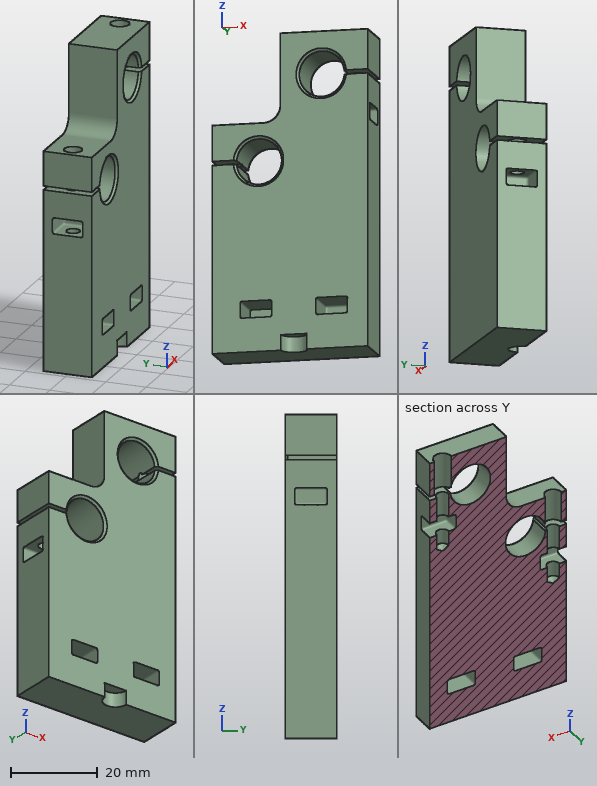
import cadquery as cq
import math

WIDTH = 37.0
THICKNESS = 12.0
HEIGHT = 75.0
FRONT_Y = -THICKNESS / 2

STEP_X = 16.2
STEP_Z = 54.0
STEP_RADIUS = 4.0

BORE_EDGE = 11.0
BORE_DIAMETER = 10.7
BORE_CHAMFER = 0.6
LOW_BORE_Z = 45.0
HIGH_BORE_Z = 65.0
SLIT_HEIGHT = 1.0

SCREW_EDGE = 3.5
LOW_CLEARANCE_DIAMETER = 4.3
HIGH_CLEARANCE_DIAMETER = 4.5
PILOT_DIAMETER = 3.2
PILOT_DEPTH = 15.0
DRILL_POINT_ANGLE = 118.0

POCKET_WIDTH = 7.5
POCKET_HEIGHT = 4.0
POCKET_RADIUS = 0.5
CLAMP_POCKET_DROP = 9.0
CLAMP_POCKET_DEPTH = 7.05
FRONT_POCKET_Z = 10.05
FRONT_POCKET_DEPTH = 9.75
FRONT_POCKET_SPACING = 18.0

NOTCH_X = 19.4
NOTCH_DIAMETER = 6.15
NOTCH_HEIGHT = 3.7


def stepped_block():
    block = cq.Workplane("XY").box(WIDTH, THICKNESS, HEIGHT, centered=(False, True, False))
    corner = (
        cq.Workplane("XY")
        .box(STEP_X, THICKNESS, HEIGHT - STEP_Z, centered=(False, True, False))
        .translate((0, 0, STEP_Z))
    )
    inner_corner = cq.selectors.NearestToPointSelector((STEP_X, 0, STEP_Z))
    return block.cut(corner).edges(inner_corner).fillet(STEP_RADIUS)


def bore(x, z):
    """Through bore along Y with a chamfered front rim."""
    radius = BORE_DIAMETER / 2
    front = cq.Workplane("XZ", origin=(x, FRONT_Y, z))
    hole = front.circle(radius).extrude(-THICKNESS)
    rim = cq.Solid.makeCone(
        radius + BORE_CHAMFER, radius, BORE_CHAMFER,
        pnt=cq.Vector(x, FRONT_Y, z), dir=cq.Vector(0, 1, 0),
    )
    return hole.union(cq.Workplane(obj=rim))


def slit(side_x, bore_x, z):
    length = abs(bore_x - side_x)
    return (
        cq.Workplane("XY")
        .box(length, THICKNESS, SLIT_HEIGHT)
        .translate(((side_x + bore_x) / 2, 0, z))
    )


def clamp_screw_hole(x, top_z, slit_z, clearance_diameter):
    """Clearance hole down to the slit, then a pilot hole with a conical end."""
    clearance = clearance_diameter / 2
    pilot = PILOT_DIAMETER / 2
    end_z = slit_z - PILOT_DEPTH
    tip_z = end_z - pilot / math.tan(math.radians(DRILL_POINT_ANGLE / 2))
    return (
        cq.Workplane("XZ", origin=(x, 0, 0))
        .moveTo(0, top_z)
        .lineTo(clearance, top_z)
        .lineTo(clearance, slit_z)
        .lineTo(pilot, slit_z)
        .lineTo(pilot, end_z)
        .lineTo(0, tip_z)
        .close()
        .revolve(360, (0, 0, 0), (0, 1, 0))
    )


def nut_pocket(plane, depth, round_floor):
    """Round-cornered pocket sunk from a plane that faces out of the block."""
    overshoot = 2 * POCKET_RADIUS
    pocket = (
        cq.Workplane(plane)
        .workplane(offset=-depth)
        .rect(POCKET_WIDTH, POCKET_HEIGHT)
        .extrude(depth + overshoot)
    )
    corners = None if round_floor else cq.selectors.ParallelDirSelector(plane.zDir)
    return pocket.edges(corners).fillet(POCKET_RADIUS)


def side_plane(side_x, outward, z):
    return cq.Plane(origin=(side_x, 0, z), xDir=(0, 1, 0), normal=(outward, 0, 0))


def front_plane(x, z):
    return cq.Plane(origin=(x, FRONT_Y, z), xDir=(1, 0, 0), normal=(0, -1, 0))


def rod_clamp(side_x, outward, bore_z, top_z, clearance_diameter):
    bore_x = side_x - outward * BORE_EDGE
    screw_x = side_x - outward * SCREW_EDGE
    pocket_plane = side_plane(side_x, outward, bore_z - CLAMP_POCKET_DROP)
    return (
        bore(bore_x, bore_z)
        .union(slit(side_x, bore_x, bore_z))
        .union(clamp_screw_hole(screw_x, top_z, bore_z, clearance_diameter))
        .union(nut_pocket(pocket_plane, CLAMP_POCKET_DEPTH, True))
    )


def notch():
    return (
        cq.Workplane("XY", origin=(NOTCH_X, FRONT_Y, 0))
        .circle(NOTCH_DIAMETER / 2)
        .extrude(NOTCH_HEIGHT)
    )


left_pocket_plane = front_plane(NOTCH_X - FRONT_POCKET_SPACING / 2, FRONT_POCKET_Z)
right_pocket_plane = front_plane(NOTCH_X + FRONT_POCKET_SPACING / 2, FRONT_POCKET_Z)

result = (
    stepped_block()
    .cut(rod_clamp(0, -1, LOW_BORE_Z, STEP_Z, LOW_CLEARANCE_DIAMETER))
    .cut(rod_clamp(WIDTH, 1, HIGH_BORE_Z, HEIGHT, HIGH_CLEARANCE_DIAMETER))
    .cut(nut_pocket(left_pocket_plane, FRONT_POCKET_DEPTH, False))
    .cut(nut_pocket(right_pocket_plane, FRONT_POCKET_DEPTH, True))
    .cut(notch())
)